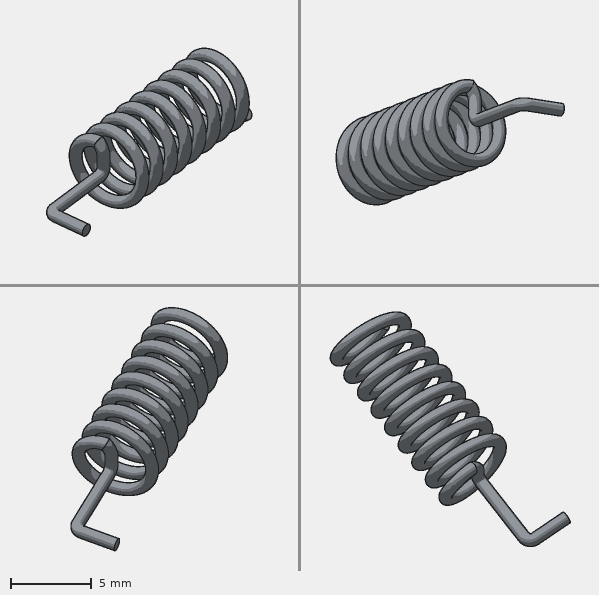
import cadquery as cq
import math

wire_radius = 0.4
coil_outer_radius = 2.75
coil_pitch = 1.43
coil_turns = 8.5
coil_start_y = 5.36
coil_start_angle = 135.0

foot_end_x = 2.9
bend_radius = 0.5
end_turn_radius = 1.83
hook_end_z = 1.19
hook_corner_x = -0.4
mitre_overrun = wire_radius

coil_radius = coil_outer_radius - wire_radius
coil_height = coil_pitch * coil_turns


end_turn_offset = coil_radius - end_turn_radius
end_turn_center_x = end_turn_offset * math.cos(math.radians(coil_start_angle))
end_turn_center_z = end_turn_offset * math.sin(math.radians(coil_start_angle))


def arc_point(center_x, center_z, radius, angle):
    """Point on an arc in the plane of the flat end turn, angle in radians."""
    x = center_x + radius * math.cos(angle)
    z = center_z + radius * math.sin(angle)
    return cq.Vector(x, coil_start_y, z)


def wire_section(center, direction):
    """Round wire section across the given direction."""
    return cq.Workplane(cq.Plane(center, normal=direction)).circle(wire_radius)


def make_coil():
    """Helix wound around +Z, then laid over so that its axis is +Y."""
    path = cq.Wire.makeHelix(coil_pitch, coil_height, coil_radius, lefthand=True)
    section = cq.Workplane("XZ").center(coil_radius, 0).circle(wire_radius)
    coil = section.sweep(cq.Workplane(path), isFrenet=True)
    coil = coil.rotate((0, 0, 0), (1, 0, 0), -90)
    return coil.rotate((0, 0, 0), (0, 1, 0), -coil_start_angle).translate((0, coil_start_y, 0))


def bent_wire(center_x, center_z, radius, start_angle, end_angle):
    """Wire bent along an arc in the plane of the flat end turn."""
    angles = (start_angle, (start_angle + end_angle) / 2, end_angle)
    points = [arc_point(center_x, center_z, radius, angle) for angle in angles]
    path = cq.Edge.makeThreePointArc(*points)
    return wire_section(points[0], path.tangentAt(0)).sweep(cq.Workplane(cq.Wire.assembleEdges([path])))


def make_hook():
    """Flat end turn and hook arc, each run past their corner and mitred there."""
    corner_angle = math.acos((hook_corner_x - end_turn_center_x) / end_turn_radius)
    corner = arc_point(end_turn_center_x, end_turn_center_z, end_turn_radius, corner_angle)

    hook_rise = corner.z - hook_end_z
    hook_radius = (hook_corner_x**2 + hook_rise**2) / (2 * abs(hook_corner_x))
    hook_angle = math.asin(hook_rise / hook_radius)

    end_turn = bent_wire(
        end_turn_center_x, end_turn_center_z, end_turn_radius,
        math.radians(coil_start_angle), corner_angle - mitre_overrun / end_turn_radius,
    )
    hook = bent_wire(
        -hook_radius, hook_end_z, hook_radius,
        hook_angle + mitre_overrun / hook_radius, 0,
    )

    mitre_angle = (corner_angle + hook_angle) / 2
    mitre_normal = cq.Vector(math.sin(mitre_angle), 0, -math.cos(mitre_angle))
    mitre_plane = cq.Plane(corner, xDir=(0, 1, 0), normal=mitre_normal)
    trim_width = 4 * wire_radius
    past_corner = cq.Workplane(mitre_plane).rect(trim_width, trim_width).extrude(trim_width)
    before_corner = cq.Workplane(mitre_plane).rect(trim_width, trim_width).extrude(-trim_width)
    end_turn = end_turn.cut(past_corner)
    hook = hook.cut(before_corner)
    return end_turn.union(hook)


def make_leg():
    """Straight drop, leg along the coil axis and foot, joined by two bends."""
    hook_end = cq.Vector(0, coil_start_y, hook_end_z)
    down = cq.Vector(0, 0, -1)
    leg_top = cq.Vector(0, coil_start_y, bend_radius)
    leg_start = cq.Vector(0, coil_start_y - bend_radius, 0)
    leg_end = cq.Vector(0, bend_radius, 0)
    foot_start = cq.Vector(bend_radius, 0, 0)
    foot_end = cq.Vector(foot_end_x, 0, 0)
    toward_foot = cq.Vector(0, -1, 0)
    leg_path = cq.Wire.assembleEdges([
        cq.Edge.makeLine(hook_end, leg_top),
        cq.Edge.makeTangentArc(leg_top, down, leg_start),
        cq.Edge.makeLine(leg_start, leg_end),
        cq.Edge.makeTangentArc(leg_end, toward_foot, foot_start),
        cq.Edge.makeLine(foot_start, foot_end),
    ])
    return wire_section(hook_end, down).sweep(cq.Workplane(leg_path))


result = make_coil().union(make_hook()).union(make_leg())